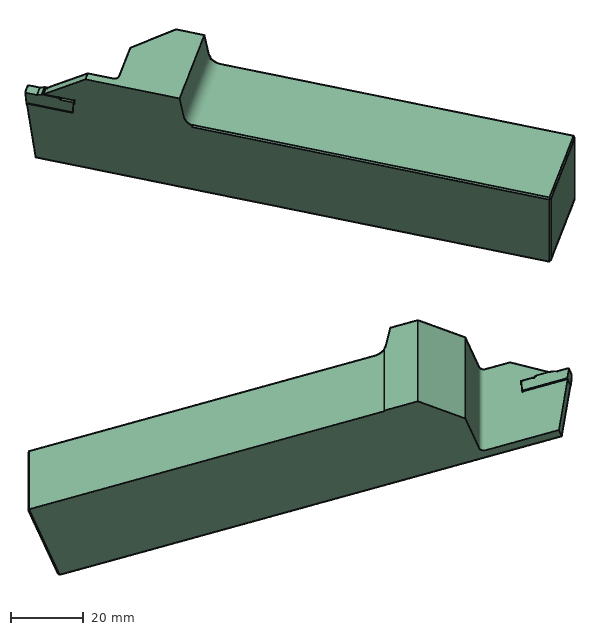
import cadquery as cq
import math

tool_end = 150.0
shank_height = 25.0
shank_width = 24.9
overall_width = 25.4
head_height = 35.0
head_back_top = 44.1
head_rear_angle = 10.0
head_rear_fillet = 3.6
edge_chamfer = 0.5
edge_chamfer_start = 47.7

blade_thickness = 2.4
blade_foot = 3.0
ramp_top = 17.2
ramp_bottom = 5.2
head_front = 25.8
head_corner_cut = 10.2
head_root_fillet = 1.4

insert_width = 3.0
nose_corner_radius = 0.5
insert_overhang = 0.22
seat_floor = 20.8
seat_roof = 25.6
seat_step = 24.2
seat_end = 14.1
insert_nose_bottom = 0.5
insert_end_bottom = 13.6
insert_end_top = 13.8
nose_length = 3.5
clamp_land_start = 4.8
clamp_land_end = 9.6
rear_step = 10.2

head_width = overall_width - insert_overhang
head_rear_foot = head_back_top + (head_height - shank_height) * math.tan(math.radians(head_rear_angle))


def extrude_side(points, y_start, width):
    """Extrude an XZ outline along +Y from y_start."""
    outline = cq.Workplane("XZ", origin=(0, y_start, 0)).polyline(points).close()
    return outline.extrude(-width)


def make_side_body():
    """Full-width side profile, rounded where the head meets the shank."""
    body = extrude_side(
        [
            (blade_foot, 0),
            (tool_end, 0),
            (tool_end, shank_height),
            (head_rear_foot, shank_height),
            (head_back_top, head_height),
            (ramp_top, head_height),
            (ramp_bottom, seat_roof),
            (insert_nose_bottom, seat_roof),
            (insert_nose_bottom, seat_floor),
        ],
        0,
        head_width,
    )
    rear_corner = cq.selectors.NearestToPointSelector((head_rear_foot, head_width / 2, shank_height))
    return body.edges(rear_corner).fillet(head_rear_fillet)


def make_plan():
    """Plan outline that thins the front down to the blade and narrows the shank."""
    plan = (
        cq.Workplane("XY")
        .polyline(
            [
                (0, 0),
                (tool_end, 0),
                (tool_end, shank_width),
                (head_rear_foot, shank_width),
                (head_rear_foot, head_width),
                (head_front + head_corner_cut, head_width),
                (head_front, head_width - head_corner_cut),
                (head_front, blade_thickness),
                (0, blade_thickness),
            ]
        )
        .close()
        .extrude(head_height)
    )
    root = cq.selectors.NearestToPointSelector((head_front, blade_thickness, head_height / 2))
    return plan.edges(root).fillet(head_root_fillet)


def make_seat():
    """Open-fronted slot through the blade that receives the insert."""
    return extrude_side(
        [
            (0, seat_floor),
            (insert_end_bottom, seat_floor),
            (insert_end_top, seat_step),
            (seat_end, seat_step),
            (seat_end, seat_roof),
            (0, seat_roof),
        ],
        0,
        blade_thickness,
    )


def make_edge_chamfer():
    """Wedge that bevels the shank's top front edge as far as the head fillet."""
    return (
        cq.Workplane("YZ", origin=(edge_chamfer_start, 0, 0))
        .polyline(
            [
                (0, shank_height - edge_chamfer),
                (edge_chamfer, shank_height),
                (0, shank_height + edge_chamfer),
            ]
        )
        .close()
        .extrude(tool_end - edge_chamfer_start)
    )


def make_holder():
    holder = make_side_body().intersect(make_plan())
    holder = holder.faces(">X").edges().chamfer(edge_chamfer)
    holder = holder.cut(make_edge_chamfer())
    return holder.cut(make_seat())


def make_nose_plan():
    """Insert plan with its two front corners rounded."""
    length = insert_end_top
    plan = cq.Workplane("XY").box(length, insert_width, head_height, centered=False)
    plan = plan.translate((0, -insert_overhang, 0))
    return plan.edges("|Z and <X").fillet(nose_corner_radius)


def make_insert():
    insert = extrude_side(
        [
            (0, shank_height),
            (nose_length, shank_height),
            (clamp_land_start, seat_roof),
            (clamp_land_end, seat_roof),
            (rear_step, shank_height),
            (insert_end_top, shank_height),
            (insert_end_top, seat_step),
            (insert_end_bottom, seat_floor),
            (insert_nose_bottom, seat_floor),
        ],
        -insert_overhang,
        insert_width,
    )
    return insert.intersect(make_nose_plan())


holder = make_holder()
insert = make_insert()

result = cq.Compound.makeCompound([holder.val(), insert.val()])